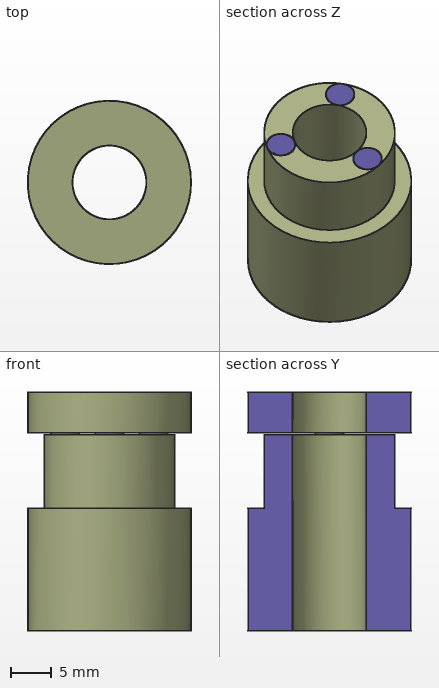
import cadquery as cq

outer_diameter = 20.0
neck_diameter = 16.0
bore_diameter = 9.0
base_height = 15.0
neck_height = 9.0
cap_height = 5.0
cap_gap = 0.2
pin_count = 3
first_pin_angle = 90.0

pin_diameter = (neck_diameter - bore_diameter) / 2
pin_circle_radius = (neck_diameter + bore_diameter) / 4

neck_top = base_height + neck_height
cap_bottom = neck_top + cap_gap


def ring(diameter, bottom, height):
    """Vertical ring around the Z axis with the common bore."""
    return (
        cq.Workplane("XY", origin=(0, 0, bottom))
        .circle(diameter / 2)
        .circle(bore_diameter / 2)
        .extrude(height)
    )


def spacer_pins():
    """Short pins that carry the cap just above the neck."""
    return (
        cq.Workplane("XY", origin=(0, 0, neck_top))
        .polarArray(pin_circle_radius, first_pin_angle, 360, pin_count)
        .circle(pin_diameter / 2)
        .extrude(cap_gap)
    )


base = ring(outer_diameter, 0, base_height)
neck = ring(neck_diameter, base_height, neck_height)
cap = ring(outer_diameter, cap_bottom, cap_height)

result = base.union(neck).union(spacer_pins()).union(cap)